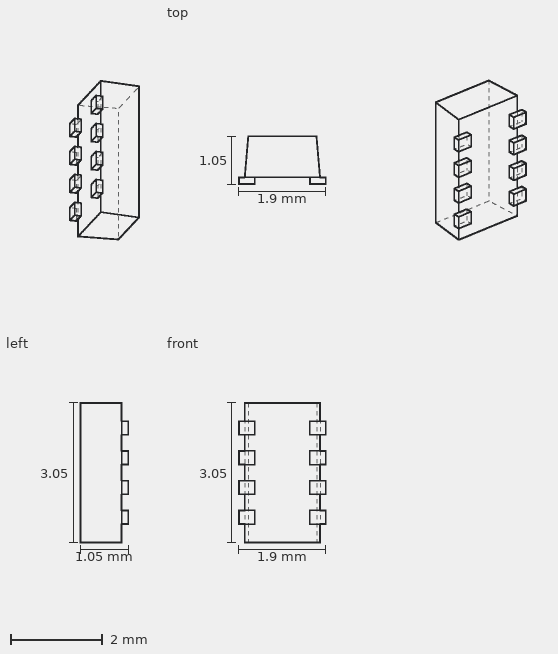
import cadquery as cq

body_height = 3.05
body_depth = 0.9
body_front_width = 1.65
body_back_width = 1.495

lead_span = 1.9
lead_length = 0.35
lead_height = 0.3
lead_thickness = 0.15
lead_pitch = 0.65
leads_per_side = 4

lead_center_x = (lead_span - lead_length) / 2
lead_center_y = -lead_thickness / 2
lowest_lead_z = -lead_pitch * (leads_per_side - 1) / 2


def make_body():
    """Extrude the trapezoidal cross-section along the full height."""
    return (
        cq.Workplane("XY", origin=(0, 0, -body_height / 2))
        .moveTo(-body_front_width / 2, 0)
        .lineTo(body_front_width / 2, 0)
        .lineTo(body_back_width / 2, body_depth)
        .lineTo(-body_back_width / 2, body_depth)
        .close()
        .extrude(body_height)
    )


def make_lead(side, row):
    """Make one lead; side is -1 or 1 along X, row counts upwards from 0."""
    center = (side * lead_center_x, lead_center_y, lowest_lead_z + row * lead_pitch)
    return cq.Workplane("XY").box(lead_length, lead_thickness, lead_height).translate(center)


result = make_body()
for side in (-1, 1):
    for row in range(leads_per_side):
        result = result.union(make_lead(side, row))